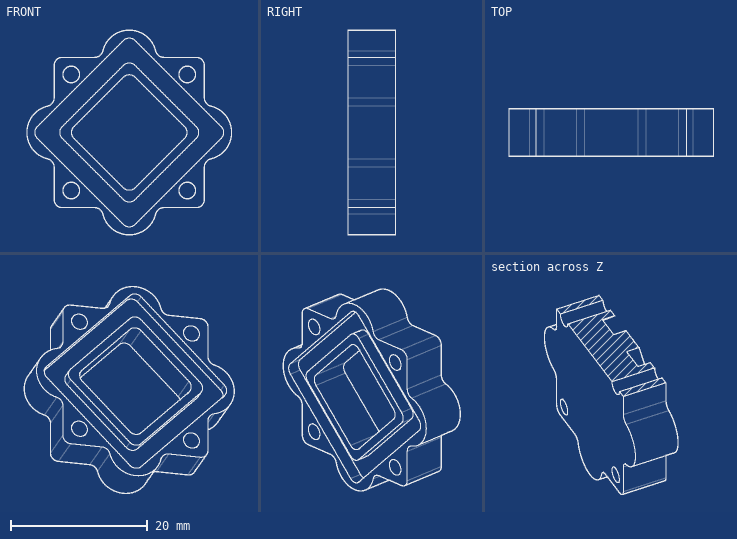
import cadquery as cq
import math

overall_width = 30
thickness = 7.0
lobe_radius = 4.0
lobe_center = overall_width / 2 - lobe_radius
square_half = lobe_center
corner_radius = 1.2
blend_radius = 1.2

hole_diameter = 2.4
hole_offset = 8.5

groove_outer_side = 20.25
groove_inner_side = 15.1
groove_corner_radius = 1.2
groove_depth = 2.0
pocket_side = 12.65
pocket_corner_radius = 1.2
pocket_depth = 6


def turned_square(side, radius, depth):
    """Diamond-shaped block with rounded corners, from the -Y face inwards."""
    return (
        cq.Workplane("XZ")
        .rect(side, side)
        .extrude(-depth)
        .edges("|Y")
        .fillet(radius)
        .rotate((0, 0, 0), (0, 1, 0), 45)
    )


def turn(point, quarter_turns):
    """Rotate a profile point about the centre by clockwise quarter turns."""
    x, z = point
    for _ in range(quarter_turns):
        x, z = z, -x
    return x, z


def body():
    """Extruded outline, repeated as four identical sides."""
    center_distance = lobe_radius + blend_radius
    blend_x = math.sqrt(center_distance**2 - blend_radius**2)
    blend_angle = math.asin(blend_radius / center_distance)
    blend_middle_angle = (math.pi / 2 + blend_angle) / 2
    blend_z = square_half + blend_radius

    corner_x = square_half - corner_radius
    corner_middle = corner_x + corner_radius * math.sqrt(0.5)
    tangent_x = lobe_radius * math.cos(blend_angle)
    tangent_z = lobe_center + lobe_radius * math.sin(blend_angle)
    middle_x = blend_x - blend_radius * math.cos(blend_middle_angle)
    middle_z = blend_z - blend_radius * math.sin(blend_middle_angle)

    outline = cq.Workplane("XZ").moveTo(-corner_x, square_half)
    for side in range(4):
        outline = (
            outline.lineTo(*turn((-blend_x, square_half), side))
            .threePointArc(turn((-middle_x, middle_z), side), turn((-tangent_x, tangent_z), side))
            .threePointArc(turn((0, overall_width / 2), side), turn((tangent_x, tangent_z), side))
            .threePointArc(turn((middle_x, middle_z), side), turn((blend_x, square_half), side))
            .lineTo(*turn((corner_x, square_half), side))
            .threePointArc(
                turn((corner_middle, corner_middle), side),
                turn((square_half, corner_x), side),
            )
        )
    return outline.close().extrude(-thickness)


def mounting_holes():
    return (
        cq.Workplane("XZ")
        .rect(2 * hole_offset, 2 * hole_offset, forConstruction=True)
        .vertices()
        .circle(hole_diameter / 2)
        .extrude(-thickness)
    )


groove = turned_square(groove_outer_side, groove_corner_radius, groove_depth).cut(
    turned_square(groove_inner_side, groove_corner_radius, groove_depth)
)
pocket = turned_square(pocket_side, pocket_corner_radius, pocket_depth)

result = body().cut(mounting_holes()).cut(groove).cut(pocket)